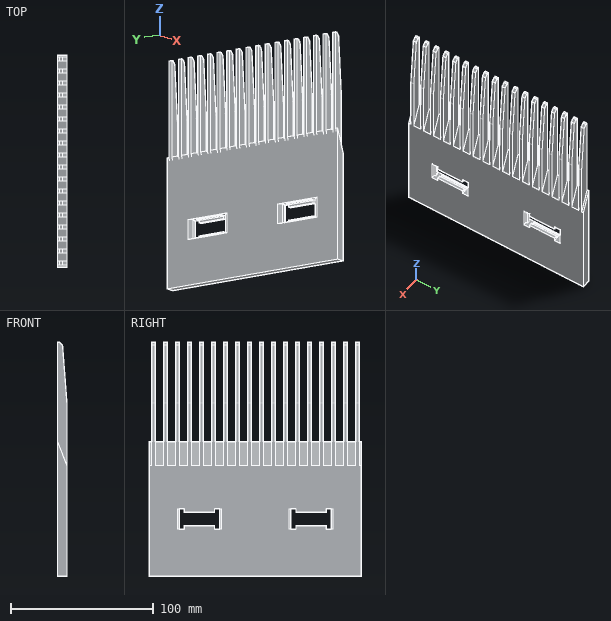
import cadquery as cq

THICKNESS = 6.8
WIDTH = 149.5
HEIGHT = 165.0

BODY_REAR_HEIGHT = 95.0
BODY_FRONT_HEIGHT = 78.0

TOOTH_COUNT = 18
TOOTH_PITCH = 8.45
TOOTH_WIDTH = 2.65
TOOTH_ROW_OFFSET = 0.15
TOOTH_TAPER_START = 122.0
TIP_FLAT = 1.5
TIP_THICKNESS = 3.7
TIP_BEVEL_HEIGHT = 2.2

WINDOW_SPACING = 78.6
WINDOW_CENTER_Z = 40.4
WINDOW_WIDTH = 34.4
WINDOW_HEIGHT = 14.2
END_TAPER_DEPTH = 2.0
END_TAPER_INSET = 3.0
LIP_END_X = 4.0
LIP_STEP = 1.3

LEDGE_WIDTH = 21.4
LOW_LEDGE_START = 1.4
LOW_LEDGE_HEIGHT = 0.6
HIGH_LEDGE_START = 4.4
HIGH_LEDGE_HEIGHT = 2.4


def make_body():
    """Plate with a sloped upper edge, extruded across the full width."""
    profile = [
        (0, 0),
        (THICKNESS, 0),
        (THICKNESS, BODY_FRONT_HEIGHT),
        (0, BODY_REAR_HEIGHT),
    ]
    return cq.Workplane("XZ").polyline(profile).close().extrude(WIDTH / 2, both=True)


def make_tooth(center_y):
    """Tapered tooth with a bevelled tip, rooted in the body."""
    profile = [
        (0, 0),
        (THICKNESS, 0),
        (THICKNESS, TOOTH_TAPER_START),
        (TIP_THICKNESS, HEIGHT - TIP_BEVEL_HEIGHT),
        (TIP_FLAT, HEIGHT),
        (0, HEIGHT),
    ]
    tooth = cq.Workplane("XZ").polyline(profile).close().extrude(TOOTH_WIDTH / 2, both=True)
    return tooth.translate((0, center_y, 0))


def make_window_opening(center_y):
    """Opening whose ends taper inward to a lip, then step back outward."""
    outer_y = WINDOW_WIDTH / 2
    lip_y = outer_y - END_TAPER_INSET
    front_y = lip_y + LIP_STEP
    half_outline = [
        (0, outer_y),
        (END_TAPER_DEPTH, lip_y),
        (LIP_END_X, lip_y),
        (LIP_END_X, front_y),
        (THICKNESS, front_y),
    ]
    mirrored_half = [(x, -y) for x, y in reversed(half_outline)]
    opening = (
        cq.Workplane("XY")
        .polyline(half_outline + mirrored_half)
        .close()
        .extrude(WINDOW_HEIGHT / 2, both=True)
    )
    return opening.translate((0, center_y, WINDOW_CENTER_Z))


def make_ledge(center_y, side):
    """Two-step ledge on the bottom (side = -1) or top (side = 1) of a window."""
    wall = WINDOW_HEIGHT / 2
    low = wall - LOW_LEDGE_HEIGHT
    high = wall - HIGH_LEDGE_HEIGHT
    profile = [
        (LOW_LEDGE_START, side * wall),
        (LOW_LEDGE_START, side * low),
        (HIGH_LEDGE_START, side * low),
        (HIGH_LEDGE_START, side * high),
        (THICKNESS, side * high),
        (THICKNESS, side * wall),
    ]
    ledge = cq.Workplane("XZ").polyline(profile).close().extrude(LEDGE_WIDTH / 2, both=True)
    return ledge.translate((0, center_y, WINDOW_CENTER_Z))


result = make_body()

for index in range(TOOTH_COUNT):
    tooth_y = TOOTH_ROW_OFFSET + (index - (TOOTH_COUNT - 1) / 2) * TOOTH_PITCH
    result = result.union(make_tooth(tooth_y))

for window_y in (-WINDOW_SPACING / 2, WINDOW_SPACING / 2):
    result = result.cut(make_window_opening(window_y))
    for ledge_side in (-1, 1):
        result = result.union(make_ledge(window_y, ledge_side))